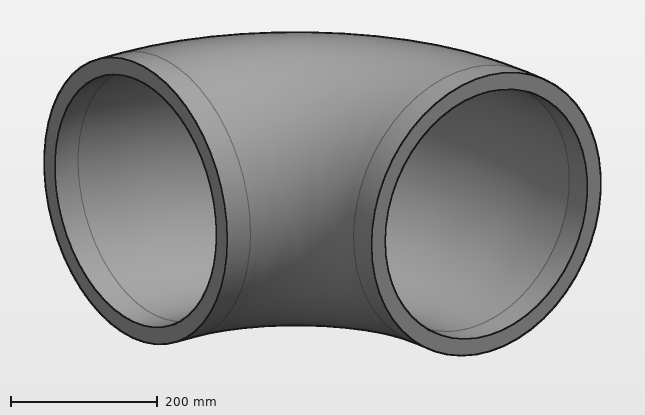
import cadquery as cq
import math

overall_length = 540.0
outer_diameter = 400.0
wall_thickness = 24.0
collar_length = 40.0

outer_radius = outer_diameter / 2
inner_radius = outer_radius - wall_thickness
bend_radius = overall_length - outer_radius - collar_length


def elbow_path():
    """Centreline from the -Y opening, around the 90 degree bend, to the +X opening."""
    bend_middle = (
        bend_radius * (1 - math.cos(math.pi / 4)),
        collar_length + bend_radius * math.sin(math.pi / 4),
    )
    bend_end = (bend_radius, collar_length + bend_radius)
    return (
        cq.Workplane("XY")
        .lineTo(0, collar_length)
        .threePointArc(bend_middle, bend_end)
        .lineTo(bend_radius + collar_length, bend_end[1])
    )


result = (
    cq.Workplane("XZ")
    .circle(outer_radius)
    .circle(inner_radius)
    .sweep(elbow_path())
)